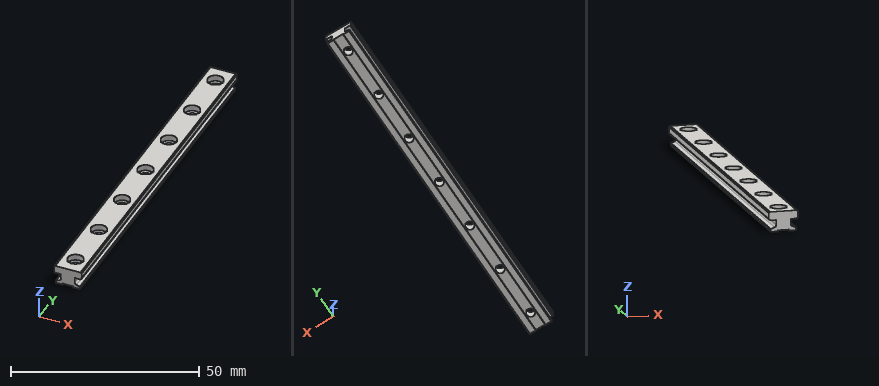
import cadquery as cq

length = 100.0
head_width = 8.0
height = 5.5

head_underside = 3.2
web_width = 4.0
foot_width = 7.0
foot_edge_height = 0.8
foot_slope_top = 1.4
lower_web_fillet = 0.7
upper_web_fillet = 0.2
head_chamfer = 0.3
foot_chamfer = 0.1
relief_width = 3.0
relief_depth = 0.3

hole_count = 7
hole_pitch = 15.0
hole_diameter = 2.4
counterbore_diameter = 4.4
counterbore_depth = 1.8


def rail_body():
    """Extrude the symmetric rail section along Y, centred on the origin."""
    head_x = head_width / 2
    web_x = web_width / 2
    foot_x = foot_width / 2
    relief_x = relief_width / 2
    right_side = [
        (relief_x, relief_depth),
        (relief_x, 0),
        (foot_x - foot_chamfer, 0),
        (foot_x, foot_chamfer),
        (foot_x, foot_edge_height),
        (web_x, foot_slope_top),
        (web_x, head_underside),
        (head_x - head_chamfer, head_underside),
        (head_x, head_underside + head_chamfer),
        (head_x, height - head_chamfer),
        (head_x - head_chamfer, height),
    ]
    left_side = [(-x, z) for x, z in reversed(right_side)]
    body = cq.Workplane("XZ").polyline(right_side + left_side).close().extrude(length / 2, both=True)

    for x in (-web_x, web_x):
        for z, radius in ((foot_slope_top, lower_web_fillet), (head_underside, upper_web_fillet)):
            corner = cq.selectors.NearestToPointSelector((x, 0, z))
            body = body.edges("|Y").edges(corner).fillet(radius)
    return body


def add_mounting_holes(body):
    """Cut the evenly spaced counterbored holes from the top face."""
    first_y = -hole_pitch * (hole_count - 1) / 2
    centres = [(0, first_y + i * hole_pitch) for i in range(hole_count)]
    return (
        body.faces(">Z")
        .workplane(origin=(0, 0, height))
        .pushPoints(centres)
        .cboreHole(hole_diameter, counterbore_diameter, counterbore_depth)
    )


result = add_mounting_holes(rail_body())